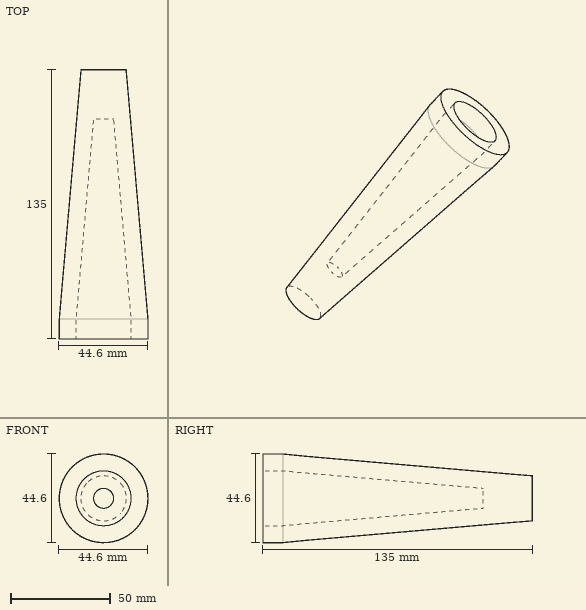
import cadquery as cq

total_length = 135.0
collar_length = 10.0
collar_radius = 22.3
tip_radius = 11.3

mouth_radius = 13.8
mouth_depth = 10.0
floor_radius = 5.0

taper_rate = (collar_radius - tip_radius) / (total_length - collar_length)
floor_depth = mouth_depth + (mouth_radius - floor_radius) / taper_rate

half_section = [
    (mouth_radius, 0),
    (collar_radius, 0),
    (collar_radius, collar_length),
    (tip_radius, total_length),
    (0, total_length),
    (0, floor_depth),
    (floor_radius, floor_depth),
    (mouth_radius, mouth_depth),
]

result = cq.Workplane("XY").polyline(half_section).close().revolve(360, (0, 0, 0), (0, 1, 0))